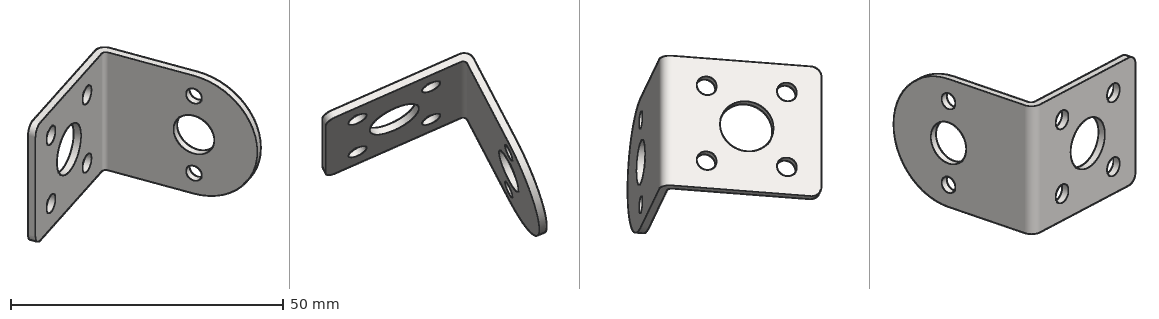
import cadquery as cq

length = 33.0
depth = 30.0
height = 26.0
thickness = 1.55
bend_outer_radius = 1.98
bend_inner_radius = 0.85
corner_radius = 2.0

round_end_x = length - height / 2
round_flange_bore = 8.3
round_flange_screw_hole = 3.2
round_flange_screw_spacing = 17.0

square_flange_bore = 10.0
square_flange_bore_y = 14.0
square_flange_screw_hole = 3.7
square_flange_screw_spacing = 15.0

mid_z = height / 2


def bent_sheet():
    """L-shaped sheet with its outer bend corner at X = 0, Y = depth."""
    sheet = (
        cq.Workplane("XY")
        .polyline([
            (0, 0),
            (thickness, 0),
            (thickness, depth - thickness),
            (length, depth - thickness),
            (length, depth),
            (0, depth),
        ])
        .close()
        .extrude(height)
    )
    outer_bend = cq.NearestToPointSelector((0, depth, mid_z))
    inner_bend = cq.NearestToPointSelector((thickness, depth - thickness, mid_z))
    sheet = sheet.edges(outer_bend).fillet(bend_outer_radius)
    return sheet.edges(inner_bend).fillet(bend_inner_radius)


def round_flange_end(sheet):
    """Round the far +X end to a full half circle."""
    straight_end = (
        cq.Workplane("XY")
        .box(length - round_end_x, depth, height, centered=False)
        .translate((round_end_x, 0, 0))
    )
    disc = (
        cq.Workplane("XZ")
        .center(round_end_x, mid_z)
        .circle(height / 2)
        .extrude(-depth)
    )
    return sheet.cut(straight_end.cut(disc))


def round_flange_holes():
    """Central bore with a screw hole above and below it."""
    plane = cq.Workplane("XZ").center(round_end_x, mid_z)
    bore = plane.circle(round_flange_bore / 2).extrude(-depth)
    screws = (
        plane.rarray(0.33, round_flange_screw_spacing, 1, 2)
        .circle(round_flange_screw_hole / 2)
        .extrude(-depth)
    )
    return bore.union(screws)


def square_flange_holes():
    """Central bore inside a square pattern of four screw holes."""
    plane = cq.Workplane("YZ").center(square_flange_bore_y, mid_z)
    bore = plane.circle(square_flange_bore / 2).extrude(thickness)
    screws = (
        plane.rarray(square_flange_screw_spacing, square_flange_screw_spacing, 2, 2)
        .circle(square_flange_screw_hole / 2)
        .extrude(thickness)
    )
    return bore.union(screws)


bracket = round_flange_end(bent_sheet())
bracket = bracket.faces("<Y").edges("|X").fillet(corner_radius)
result = bracket.cut(round_flange_holes()).cut(square_flange_holes())